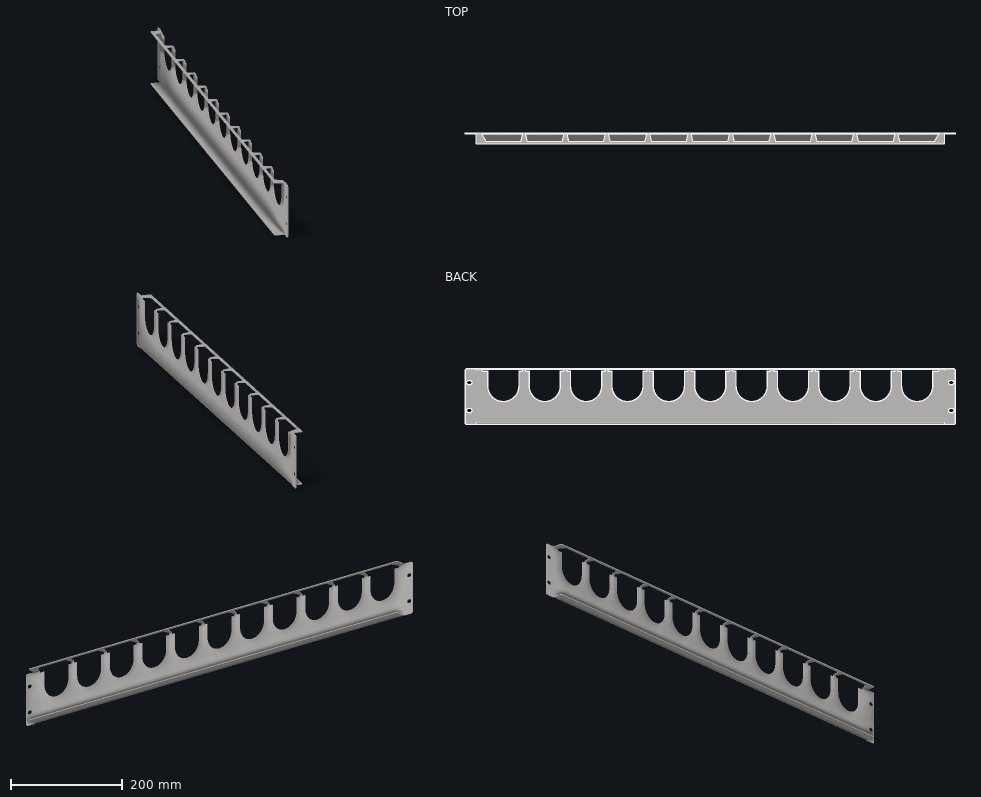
import cadquery as cq

length = 876.5
depth = 20.0
height = 100.0
sheet = 1.5
bend_radius = 3.0
plate_corner_radius = 3.5

flange_end_gap = 19.0
flange_length = length - 2 * flange_end_gap
flange_corner_radius = 3.5

opening_count = 11
opening_row_span = 740.0
opening_pitch = opening_row_span / (opening_count - 1)
opening_width = 55.0
opening_depth = 59.0

bar_width = 5.0
relief_front_margin = 3.5
relief_back_margin = 6.6
relief_end_margin = 10.5
relief_height = 4.0

mount_slot_length = 10.0
mount_slot_width = 7.0
mount_edge_distance = 7.45
mount_spacing_z = 50.0

back_y = depth / 2
front_y = -depth / 2
top_z = height / 2


def opening_positions():
    first_x = -opening_row_span / 2
    return [first_x + i * opening_pitch for i in range(opening_count)]


def make_plate():
    """Flat back plate over the full length, with rounded corners."""
    return (
        cq.Workplane("XY")
        .box(length, sheet, height)
        .translate((0, back_y - sheet / 2, 0))
        .edges("|Y")
        .fillet(plate_corner_radius)
    )


def make_channel():
    """C-section with rounded folds, as long as the flanges."""
    outer = (
        cq.Workplane("XY")
        .box(flange_length, depth, height)
        .edges("|X and >Y")
        .fillet(bend_radius)
    )
    inner = (
        cq.Workplane("XY")
        .box(flange_length, depth, height - 2 * sheet)
        .edges("|X and >Y")
        .fillet(bend_radius - sheet)
        .translate((0, -sheet, 0))
    )
    return outer.cut(inner).edges("|Z and <Y").fillet(flange_corner_radius)


def make_fold_strips():
    """Strips cut from the plate edges where the rounded folds replace it."""
    strip = cq.Workplane("XY").box(flange_length, depth, bend_radius)
    offset = top_z - bend_radius / 2
    return strip.translate((0, 0, offset)).union(strip.translate((0, 0, -offset)))


def make_opening(x):
    """U-shaped cutter through the plate, open at its top edge."""
    radius = opening_width / 2
    center_z = top_z - opening_depth + radius
    return (
        cq.Workplane("XZ", origin=(x, back_y, 0))
        .moveTo(-radius, top_z)
        .lineTo(-radius, center_z)
        .threePointArc((0, center_z - radius), (radius, center_z))
        .lineTo(radius, top_z)
        .close()
        .extrude(bend_radius)
    )


def make_relief(x, left_margin, right_margin):
    """Relief cutter through the top flange and fold, widening toward the plate."""
    half_width = opening_width / 2
    half_front = half_width + relief_front_margin
    fold_y = back_y - bend_radius
    left_x = -half_width - left_margin
    right_x = half_width + right_margin
    return (
        cq.Workplane("XY", origin=(x, 0, top_z - relief_height))
        .polyline([
            (-half_front, front_y + bar_width),
            (half_front, front_y + bar_width),
            (right_x, fold_y),
            (right_x, back_y),
            (left_x, back_y),
            (left_x, fold_y),
        ])
        .close()
        .extrude(relief_height)
    )


def make_mount_slots():
    x = length / 2 - mount_edge_distance
    z = mount_spacing_z / 2
    return (
        cq.Workplane("XZ", origin=(0, back_y, 0))
        .pushPoints([(-x, -z), (-x, z), (x, -z), (x, z)])
        .slot2D(mount_slot_length, mount_slot_width)
        .extrude(sheet)
    )


result = make_plate().cut(make_fold_strips()).union(make_channel())

for index, opening_x in enumerate(opening_positions()):
    left = relief_end_margin if index == 0 else relief_back_margin
    right = relief_end_margin if index == opening_count - 1 else relief_back_margin
    result = result.cut(make_opening(opening_x))
    result = result.cut(make_relief(opening_x, left, right))

result = result.cut(make_mount_slots())